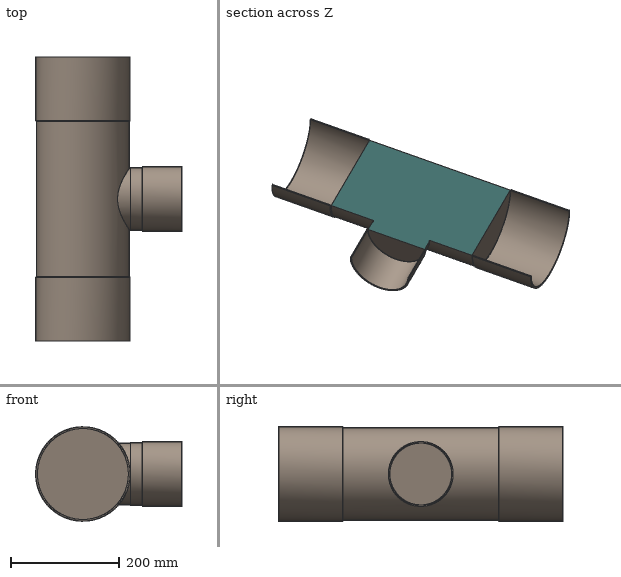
import cadquery as cq

run_length = 526.0
socket_diameter = 175.0
body_diameter = 172.0
socket_bore = 168.3
socket_length = 118.0
shoulder_length = (socket_diameter - body_diameter) / 2

branch_reach = 183.0
branch_socket_diameter = 120.0
neck_diameter = 116.0
saddle_diameter = 114.5
branch_bore = 114.3
branch_socket_length = 73.0
branch_shoulder_length = 0.5
neck_start = 88.0

socket_depth = socket_length + shoulder_length
branch_socket_depth = branch_socket_length + branch_shoulder_length


def run_outside():
    """Envelope of the run: a half profile revolved about Y."""
    run_end = run_length / 2
    shoulder_outer = run_end - socket_length
    shoulder_inner = shoulder_outer - shoulder_length
    socket_radius = socket_diameter / 2
    body_radius = body_diameter / 2
    profile = [
        (0, -run_end),
        (socket_radius, -run_end),
        (socket_radius, -shoulder_outer),
        (body_radius, -shoulder_inner),
        (body_radius, shoulder_inner),
        (socket_radius, shoulder_outer),
        (socket_radius, run_end),
        (0, run_end),
    ]
    return cq.Workplane("XY").polyline(profile).close().revolve(360, (0, 0, 0), (0, 1, 0))


def branch_outside():
    """Envelope of the branch: a half profile revolved about X, starting at the run axis."""
    socket_start = branch_reach - branch_socket_length
    neck_end = socket_start - branch_shoulder_length
    saddle_radius = saddle_diameter / 2
    neck_radius = neck_diameter / 2
    socket_radius = branch_socket_diameter / 2
    profile = [
        (0, 0),
        (0, saddle_radius),
        (neck_start, saddle_radius),
        (neck_start, neck_radius),
        (neck_end, neck_radius),
        (socket_start, socket_radius),
        (branch_reach, socket_radius),
        (branch_reach, 0),
    ]
    return cq.Workplane("XY").polyline(profile).close().revolve(360, (0, 0, 0), (1, 0, 0))


def blind_bore(mouth_plane, mouth_centre, diameter, depth):
    """Cutter from a socket mouth into the part; the plane's normal points out of the mouth."""
    return cq.Workplane(mouth_plane, origin=mouth_centre).circle(diameter / 2).extrude(-depth)


front_bore = blind_bore("XZ", (0, -run_length / 2, 0), socket_bore, socket_depth)
rear_bore = blind_bore("ZX", (0, run_length / 2, 0), socket_bore, socket_depth)
side_bore = blind_bore("YZ", (branch_reach, 0, 0), branch_bore, branch_socket_depth)

result = run_outside().union(branch_outside()).cut(front_bore).cut(rear_bore).cut(side_bore)